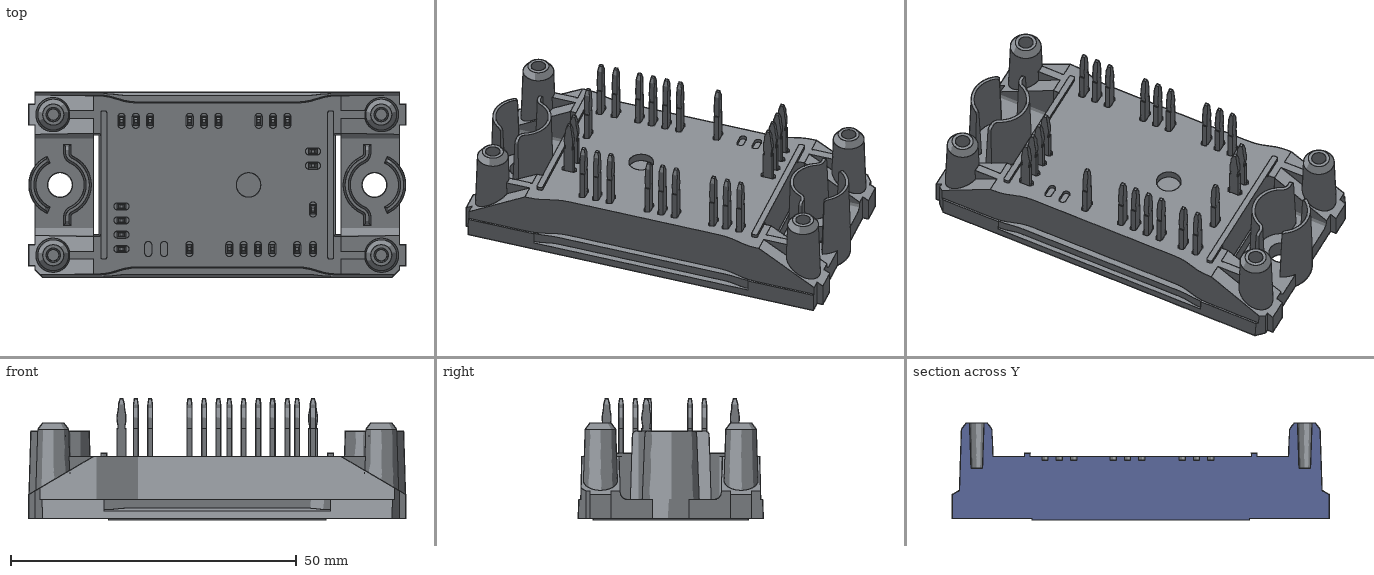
import cadquery as cq
import math

PLATE_BOTTOM = 0
BASE_BOTTOM = 0.25
BASE_TOP = 3.6
DECK_TOP = 11.15
PIN_TOP = 21.25

HALF_LENGTH = 33
BASE_HALF_LENGTH = 31.95
BASE_HALF_WIDTH = 16.25
BASE_TOP_HALF_WIDTH = 16.1
CORNER_CHAMFER = 1.4
PLATE_LENGTH = 38.15
PLATE_WIDTH = 27.2

GROOVE_END_X = 19.8
GROOVE_FULL_X = 15.3
GROOVE_END_Y = 16.0
GROOVE_WALL_Y = 15.65
GROOVE_FLOOR_INNER_Z = 2.1
GROOVE_FLOOR_OUTER_Z = 1.6

BODY_END_HALF_WIDTH = 15.8
BODY_MID_HALF_WIDTH = 14.5
WAIST_START_X = 21.05
WAIST_END_X = 13.85
BODY_DRAFT = 1.4
SLOPE_START_X = 21.65
SLOPE_END_Z = 4.5

BAR_X = 19.85
BAR_WIDTH = 1.05
BAR_LENGTH = 25.95
BAR_TOP = 11.75
BAR_CORNER_RADIUS = 0.3

POCKET_INNER_X = 21.65
POCKET_TOP_HALF_WIDTH = 9.05
POCKET_FILLET_HALF_WIDTH = 8.85
POCKET_FLOOR_HALF_WIDTH = 7.6
OPENING_INNER_X = 20.7
OPENING_HALF_WIDTH = 8.7
GAP_CORNER_RADIUS = 0.45
DECK_END_X = BAR_X + BAR_WIDTH / 2

PILLAR_X = 28.7
PILLAR_Y = 12.31
PILLAR_BASE_RADIUS = 3.1
PILLAR_SHOULDER_RADIUS = 2.7
PILLAR_TOP_RADIUS = 1.85
PILLAR_SHOULDER_Z = 15.9
PILLAR_TOP = 17.0
PILLAR_BORE_RADIUS = 1.25
PILLAR_BORE_END_RADIUS = 1.0
PILLAR_BORE_DEPTH = 7.9
RIB_WIDTH = 1.4
TAB_Y = 12.31
TAB_WIDTH = 3.7

MOUNT_X = 27.5
MOUNT_HOLE_DIAMETER = 4.3
WALL_THICKNESS = 1.25
WALL_OUTER_RADIUS = HALF_LENGTH - MOUNT_X
WALL_TOP = 15.6
WALL_DRAFT = 1.7
OUTER_WALL_HALF_ANGLE = 65.7
LEG_OFFSET_X = 1.25
LEG_END_Y = 7.05
LEG_BEND_RADIUS = 1.3
WALL_CORNER_RADIUS = 0.65

DIMPLE_X = 5.5
DIMPLE_DIAMETER = 4.3
DIMPLE_DEPTH = 1.45

SOCKET_LENGTH = 2.65
SOCKET_WIDTH = 1.25
SOCKET_DEPTH = 0.65
PIN_HALF_WIDTH = 0.825
PIN_HALF_THICKNESS = 0.43
PIN_NECK_HALF_WIDTH = 0.63
PIN_BULGE_HALF_WIDTH = 0.8
PIN_STEM_HALF_WIDTH = 0.56
PIN_TIP_HALF_WIDTH = 0.25
PIN_SHOULDER_Z = 16.05
PIN_NECK_TOP_Z = 16.5
PIN_BULGE_Z = 17.95
PIN_BULGE_TOP_Z = 19.15
PIN_STEM_Z = 19.6
PIN_TIP_START_Z = 20.2

PIN_ROW_Y = 11.2
PIN_COLUMN_X = 16.75
BACK_ROW_X = [-16.75, -14.25, -11.75, -4.8, -2.3, 0.2, 7.25, 9.8, 12.3]
FRONT_ROW_X = [-4.9, 2.1, 4.6, 7.1, 9.65, 14.0, 16.75]
FRONT_EMPTY_X = [-12.1, -9.3]
LEFT_COLUMN_Y = [-3.75, -6.2, -8.7, -11.2]
RIGHT_COLUMN_Y = [5.9, 3.35]
LONE_PIN_Y = -4.3


def on_both_ends(shape):
    return shape.union(shape.mirror("YZ"))


def on_both_sides(shape):
    return shape.union(shape.mirror("XZ"))


def box_between(x0, x1, y0, y1, z0, z1):
    return cq.Workplane("XY").box(x1 - x0, y1 - y0, z1 - z0, centered=False).translate((x0, y0, z0))


def slope_height(x):
    """Height of the end slopes at distance x from the middle."""
    fraction = (x - SLOPE_START_X) / (HALF_LENGTH - SLOPE_START_X)
    return DECK_TOP + fraction * (SLOPE_END_Z - DECK_TOP)


def waisted_outline(end_x, wide_y, start_x, full_x, narrow_y):
    """Plan that narrows from wide_y to narrow_y through an S curve at each corner of the waist."""
    middle = ((start_x + full_x) / 2, (wide_y + narrow_y) / 2)
    half = (
        cq.Workplane("XY")
        .moveTo(-end_x, 0)
        .lineTo(-end_x, wide_y)
        .lineTo(-start_x, wide_y)
        .tangentArcPoint((-middle[0], middle[1]), relative=False)
        .tangentArcPoint((-full_x, narrow_y), relative=False)
        .lineTo(full_x, narrow_y)
        .tangentArcPoint((middle[0], middle[1]), relative=False)
        .tangentArcPoint((start_x, wide_y), relative=False)
        .lineTo(end_x, wide_y)
        .lineTo(end_x, 0)
    )
    return half.mirrorX()


def make_base():
    section = [
        (-BASE_HALF_WIDTH, BASE_BOTTOM),
        (BASE_HALF_WIDTH, BASE_BOTTOM),
        (BASE_TOP_HALF_WIDTH, BASE_TOP),
        (-BASE_TOP_HALF_WIDTH, BASE_TOP),
    ]
    base = cq.Workplane("YZ").polyline(section).close().extrude(BASE_HALF_LENGTH, both=True)
    return base.cut(on_both_sides(make_groove()))


def make_groove():
    """Space outside the groove wall and above its outward sloping floor, on the +Y side."""
    core = waisted_outline(
        GROOVE_END_X + 0.65, GROOVE_END_Y, GROOVE_END_X, GROOVE_FULL_X, GROOVE_WALL_Y
    ).extrude(BASE_TOP)
    section = [
        (GROOVE_WALL_Y, GROOVE_FLOOR_INNER_Z),
        (BASE_HALF_WIDTH, GROOVE_FLOOR_OUTER_Z),
        (BASE_HALF_WIDTH, BASE_TOP),
        (GROOVE_WALL_Y, BASE_TOP),
    ]
    return cq.Workplane("YZ").polyline(section).close().extrude(GROOVE_END_X, both=True).cut(core)


def make_body():
    outline = waisted_outline(
        HALF_LENGTH, BODY_END_HALF_WIDTH, WAIST_START_X, WAIST_END_X, BODY_MID_HALF_WIDTH
    )
    block = outline.extrude(DECK_TOP - BASE_TOP, taper=BODY_DRAFT).translate((0, 0, BASE_TOP))
    side = [
        (-BASE_HALF_LENGTH, BASE_TOP),
        (-BASE_HALF_LENGTH, slope_height(BASE_HALF_LENGTH)),
        (-SLOPE_START_X, DECK_TOP),
        (SLOPE_START_X, DECK_TOP),
        (BASE_HALF_LENGTH, slope_height(BASE_HALF_LENGTH)),
        (BASE_HALF_LENGTH, BASE_TOP),
    ]
    return block.intersect(cq.Workplane("XZ").polyline(side).close().extrude(BASE_HALF_WIDTH, both=True))


def make_pocket():
    """Open space between the corner blocks at the +X end, with rounded lower corners."""
    fillet = POCKET_FILLET_HALF_WIDTH - POCKET_FLOOR_HALF_WIDTH
    bend = fillet * (1 - math.sqrt(0.5))
    section = (
        cq.Workplane("YZ")
        .moveTo(-POCKET_FLOOR_HALF_WIDTH, BASE_TOP)
        .lineTo(POCKET_FLOOR_HALF_WIDTH, BASE_TOP)
        .threePointArc(
            (POCKET_FILLET_HALF_WIDTH - bend, BASE_TOP + bend),
            (POCKET_FILLET_HALF_WIDTH, BASE_TOP + fillet),
        )
        .lineTo(POCKET_TOP_HALF_WIDTH, DECK_TOP)
        .lineTo(-POCKET_TOP_HALF_WIDTH, DECK_TOP)
        .lineTo(-POCKET_FILLET_HALF_WIDTH, BASE_TOP + fillet)
        .threePointArc(
            (bend - POCKET_FILLET_HALF_WIDTH, BASE_TOP + bend),
            (-POCKET_FLOOR_HALF_WIDTH, BASE_TOP),
        )
        .close()
    )
    pocket = section.extrude(HALF_LENGTH - POCKET_INNER_X).translate((POCKET_INNER_X, 0, 0))
    opening = box_between(
        OPENING_INNER_X, POCKET_INNER_X, -OPENING_HALF_WIDTH, OPENING_HALF_WIDTH, PLATE_BOTTOM, DECK_TOP
    )
    gap = box_between(
        DECK_END_X,
        POCKET_INNER_X,
        -POCKET_TOP_HALF_WIDTH,
        POCKET_TOP_HALF_WIDTH,
        BASE_TOP,
        DECK_TOP,
    )
    gap = gap.edges("|Z and <X").fillet(GAP_CORNER_RADIUS)
    return pocket.union(opening).union(gap)


def make_corner_cut():
    """Vertical chamfer prism at the +X, -Y corner."""
    return (
        cq.Workplane("XY")
        .moveTo(BASE_HALF_LENGTH, -BASE_HALF_WIDTH)
        .lineTo(BASE_HALF_LENGTH, CORNER_CHAMFER - BASE_HALF_WIDTH)
        .lineTo(BASE_HALF_LENGTH - CORNER_CHAMFER, -BASE_HALF_WIDTH)
        .close()
        .extrude(DECK_TOP)
    )


def make_pillar():
    """Tapered pillar at the +X, +Y corner with its rib to the deck and its end tab."""
    pillar = (
        cq.Workplane("XZ")
        .moveTo(0, BASE_TOP)
        .lineTo(PILLAR_BASE_RADIUS, BASE_TOP)
        .lineTo(PILLAR_SHOULDER_RADIUS, PILLAR_SHOULDER_Z)
        .lineTo(PILLAR_TOP_RADIUS, PILLAR_TOP)
        .lineTo(0, PILLAR_TOP)
        .close()
        .revolve(360, (0, 0), (0, 1))
        .translate((PILLAR_X, PILLAR_Y, 0))
    )
    rib = box_between(
        SLOPE_START_X,
        PILLAR_X,
        PILLAR_Y - RIB_WIDTH / 2,
        PILLAR_Y + RIB_WIDTH / 2,
        BASE_TOP,
        DECK_TOP,
    )
    tab_side = [
        (PILLAR_X, BASE_BOTTOM),
        (HALF_LENGTH, BASE_BOTTOM),
        (HALF_LENGTH, SLOPE_END_Z),
        (PILLAR_X, slope_height(PILLAR_X)),
    ]
    tab = cq.Workplane("XZ").polyline(tab_side).close().extrude(TAB_WIDTH / 2, both=True)
    return pillar.union(rib).union(tab.translate((0, TAB_Y, 0)))


def make_pillar_bore():
    return (
        cq.Workplane("XZ")
        .moveTo(0, PILLAR_TOP)
        .lineTo(PILLAR_BORE_RADIUS, PILLAR_TOP)
        .lineTo(PILLAR_BORE_END_RADIUS, PILLAR_TOP - PILLAR_BORE_DEPTH)
        .lineTo(0, PILLAR_TOP - PILLAR_BORE_DEPTH)
        .close()
        .revolve(360, (0, 0), (0, 1))
        .translate((PILLAR_X, PILLAR_Y, 0))
    )


def polar(radius, degrees):
    angle = math.radians(degrees)
    return (radius * math.cos(angle), radius * math.sin(angle))


def raise_wall(outline):
    """Draft the wall upward from the pocket floor and round its upper end corners."""
    wall = outline.extrude(WALL_TOP - BASE_TOP, taper=WALL_DRAFT)
    short_top_edges = [e for e in wall.faces(">Z").edges().vals() if e.Length() < WALL_THICKNESS / 2]
    wall = wall.newObject(short_top_edges).fillet(WALL_CORNER_RADIUS)
    return wall.translate((MOUNT_X, 0, BASE_TOP))


def make_outer_wall():
    inner_radius = WALL_OUTER_RADIUS - WALL_THICKNESS
    outline = (
        cq.Workplane("XY")
        .moveTo(*polar(inner_radius, -OUTER_WALL_HALF_ANGLE))
        .lineTo(*polar(WALL_OUTER_RADIUS, -OUTER_WALL_HALF_ANGLE))
        .threePointArc((WALL_OUTER_RADIUS, 0), polar(WALL_OUTER_RADIUS, OUTER_WALL_HALF_ANGLE))
        .lineTo(*polar(inner_radius, OUTER_WALL_HALF_ANGLE))
        .threePointArc((inner_radius, 0), polar(inner_radius, -OUTER_WALL_HALF_ANGLE))
        .close()
    )
    return raise_wall(outline)


def make_inner_wall():
    """Arc around the mounting hole that bends back into a straight leg at both ends."""
    middle_radius = WALL_OUTER_RADIUS - WALL_THICKNESS / 2
    bend_x = -LEG_OFFSET_X - LEG_BEND_RADIUS
    bend_y = math.sqrt((middle_radius + LEG_BEND_RADIUS) ** 2 - bend_x**2)
    join_angle = math.degrees(math.atan2(bend_y, bend_x))

    def edge_points(offset):
        """Leg end, bend start, bend middle and bend end of the edge at this offset from mid-wall."""
        radius = LEG_BEND_RADIUS - offset
        turn = polar(radius, join_angle / 2 - 90)
        leg_x = bend_x + radius
        return [
            (leg_x, LEG_END_Y),
            (leg_x, bend_y),
            (bend_x + turn[0], bend_y + turn[1]),
            polar(middle_radius + offset, join_angle),
        ]

    def below(point):
        return (point[0], -point[1])

    outer = edge_points(WALL_THICKNESS / 2)
    inner = edge_points(-WALL_THICKNESS / 2)
    outline = (
        cq.Workplane("XY")
        .moveTo(*outer[0])
        .lineTo(*outer[1])
        .threePointArc(outer[2], outer[3])
        .threePointArc((-WALL_OUTER_RADIUS, 0), below(outer[3]))
        .threePointArc(below(outer[2]), below(outer[1]))
        .lineTo(*below(outer[0]))
        .lineTo(*below(inner[0]))
        .lineTo(*below(inner[1]))
        .threePointArc(below(inner[2]), below(inner[3]))
        .threePointArc((WALL_THICKNESS - WALL_OUTER_RADIUS, 0), inner[3])
        .threePointArc(inner[2], inner[1])
        .lineTo(*inner[0])
        .close()
    )
    return raise_wall(outline)


def make_mount_pad():
    """Round pad that carries the outer wall past the end of the base."""
    pad = cq.Workplane("XY").circle(WALL_OUTER_RADIUS).extrude(BASE_TOP - BASE_BOTTOM)
    return pad.translate((MOUNT_X, 0, BASE_BOTTOM))


def make_mount_hole():
    return cq.Workplane("XY").center(MOUNT_X, 0).circle(MOUNT_HOLE_DIAMETER / 2).extrude(BASE_TOP)


def make_deck_bar():
    bar = cq.Workplane("XY").rect(BAR_WIDTH, BAR_LENGTH).extrude(BAR_TOP - BASE_TOP)
    return bar.edges("|Z").fillet(BAR_CORNER_RADIUS).translate((BAR_X, 0, BASE_TOP))


def make_socket():
    socket = cq.Workplane("XY").slot2D(SOCKET_LENGTH, SOCKET_WIDTH).extrude(SOCKET_DEPTH)
    return socket.translate((0, 0, DECK_TOP - SOCKET_DEPTH))


def make_pin():
    """Flat press-fit pin, wide along X, with a necked and bulged upper part and a tapered tip."""
    foot = DECK_TOP - SOCKET_DEPTH
    half = (
        cq.Workplane("XZ")
        .moveTo(0, foot)
        .lineTo(PIN_HALF_WIDTH, foot)
        .lineTo(PIN_HALF_WIDTH, PIN_SHOULDER_Z)
        .lineTo(PIN_NECK_HALF_WIDTH, PIN_SHOULDER_Z)
        .lineTo(PIN_NECK_HALF_WIDTH, PIN_NECK_TOP_Z)
        .threePointArc((PIN_BULGE_HALF_WIDTH, PIN_BULGE_Z), (PIN_NECK_HALF_WIDTH, PIN_BULGE_TOP_Z))
        .lineTo(PIN_STEM_HALF_WIDTH, PIN_STEM_Z)
        .lineTo(PIN_STEM_HALF_WIDTH, PIN_TIP_START_Z)
        .lineTo(PIN_TIP_HALF_WIDTH, PIN_TOP)
        .lineTo(0, PIN_TOP)
    )
    pin = half.mirrorY().extrude(PIN_HALF_THICKNESS, both=True)
    edge_profile = [
        (-PIN_HALF_THICKNESS, foot),
        (PIN_HALF_THICKNESS, foot),
        (PIN_HALF_THICKNESS, PIN_TIP_START_Z),
        (PIN_TIP_HALF_WIDTH, PIN_TOP),
        (-PIN_TIP_HALF_WIDTH, PIN_TOP),
        (-PIN_HALF_THICKNESS, PIN_TIP_START_Z),
    ]
    return pin.intersect(cq.Workplane("YZ").polyline(edge_profile).close().extrude(PIN_HALF_WIDTH, both=True))


def place_all(shape, places_along_x, places_along_y):
    """Copies of a shape that is long along X, those at places_along_y turned to be long along Y."""
    turned = shape.rotate((0, 0, 0), (0, 0, 1), 90)
    copies = [shape.translate((x, y, 0)).val() for x, y in places_along_x]
    copies += [turned.translate((x, y, 0)).val() for x, y in places_along_y]
    return cq.Workplane(cq.Compound.makeCompound(copies))


pins_along_y = [(x, PIN_ROW_Y) for x in BACK_ROW_X]
pins_along_y += [(x, -PIN_ROW_Y) for x in FRONT_ROW_X]
pins_along_y += [(PIN_COLUMN_X, LONE_PIN_Y)]
pins_along_x = [(-PIN_COLUMN_X, y) for y in LEFT_COLUMN_Y]
pins_along_x += [(PIN_COLUMN_X, y) for y in RIGHT_COLUMN_Y]
empty_sockets = [(x, -PIN_ROW_Y) for x in FRONT_EMPTY_X]

plate = cq.Workplane("XY").rect(PLATE_LENGTH, PLATE_WIDTH).extrude(BASE_BOTTOM - PLATE_BOTTOM)
result = plate.union(make_base()).union(make_body())
result = result.cut(on_both_ends(make_corner_cut()))
result = result.cut(on_both_ends(make_pocket()))

result = result.union(on_both_ends(on_both_sides(make_pillar())))
result = result.cut(on_both_ends(on_both_sides(make_pillar_bore())))
result = result.union(on_both_ends(make_mount_pad().union(make_outer_wall()).union(make_inner_wall())))
result = result.cut(on_both_ends(make_mount_hole()))

result = result.union(on_both_ends(make_deck_bar()))
dimple = cq.Workplane("XY").center(DIMPLE_X, 0).circle(DIMPLE_DIAMETER / 2).extrude(DIMPLE_DEPTH)
result = result.cut(dimple.translate((0, 0, DECK_TOP - DIMPLE_DEPTH)))

result = result.cut(place_all(make_socket(), pins_along_x, pins_along_y + empty_sockets))
result = result.union(place_all(make_pin(), pins_along_x, pins_along_y))